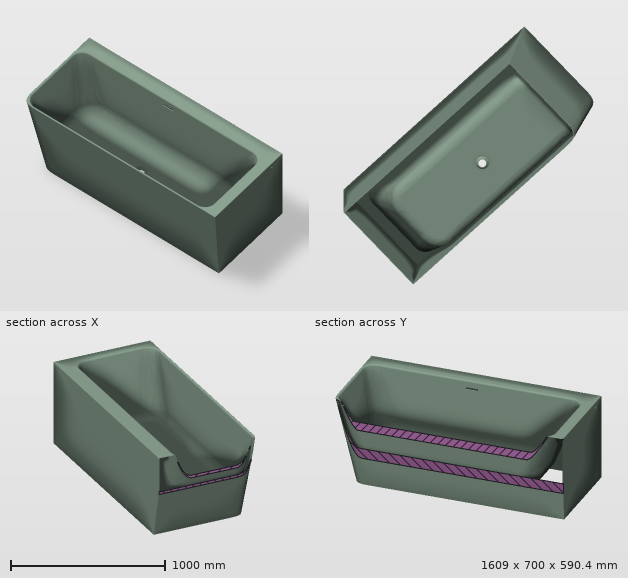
import cadquery as cq

length = 1600.0
width = 700.0
height = 590.44
left_lean = 130.0
front_lean = 40.0
outer_corner = 110.0
corner_inset = 0.2

shell = 5.0
apron_height = height - shell

rim_edge_radius = 4.0
lip_radius = 12.0
floor_z = 160.0
floor_radius = 60.0

basin_top = (16.0, 1523.0, 15.5, 588.0, 77.0)
basin_floor = (120.0, 1363.0, 51.0, 552.5, 135.0)

drain_x = 744.0
drain_y = (basin_top[2] + basin_top[3]) / 2
drain_top_diameter = 86.0
drain_hole_diameter = 51.0
drain_depth = 18.0
overflow_width = 83.0
overflow_height = 14.0
overflow_z = 536.0
overflow_cut_depth = 40.0

apron_wall = 5.0
pin_diameter = 6.0
pin_reach = 9.0
pin_y = 587.0
pin_z = 554.0


def outer_outline(z, inset):
    """Outline of the block at height z, moved inward by inset, with one soft corner."""
    drop = max(0.0, 1 - z / apron_height)
    left = left_lean * drop + inset
    front = front_lean * drop + inset
    right = length - inset
    back = width - inset
    corner = outer_corner - inset
    middle = corner * corner_inset
    return (
        cq.Workplane("XY", origin=(0, 0, z))
        .moveTo(left, back)
        .lineTo(left, front + corner)
        .spline(
            [(left + middle, front + middle), (left + corner, front)],
            tangents=[(0, -1), (1, 0)],
            includeCurrent=True,
        )
        .lineTo(right, front)
        .lineTo(right, back)
        .close()
        .wires()
        .val()
    )


def outer_block(z_low, z_high, inset=0.0):
    """Part of the block between two heights."""
    outlines = [outer_outline(z_low, inset), outer_outline(z_high, inset)]
    return cq.Workplane(cq.Solid.makeLoft(outlines, True))


def basin_outline(section, z, grow):
    """Rounded rectangle at height z, moved outward by grow."""
    left, right, front, back, radius = section
    corners = [
        cq.Vector(left - grow, front - grow, z),
        cq.Vector(right + grow, front - grow, z),
        cq.Vector(right + grow, back + grow, z),
        cq.Vector(left - grow, back + grow, z),
    ]
    rectangle = cq.Wire.makePolygon(corners, close=True)
    return rectangle.fillet2D(radius + grow, rectangle.Vertices())


def basin_block(grow):
    """Solid of the basin hollow, grown by a wall thickness on its sides and floor."""
    outlines = [
        basin_outline(basin_floor, floor_z - grow, grow),
        basin_outline(basin_top, height, grow),
    ]
    block = cq.Workplane(cq.Solid.makeLoft(outlines, True))
    return block.faces("<Z").edges().fillet(floor_radius + grow)


def drain_cone(grow):
    """Funnel from the basin floor down to the drain hole, grown by a wall thickness."""
    return cq.Workplane(
        cq.Solid.makeCone(
            drain_hole_diameter / 2 + grow,
            drain_top_diameter / 2 + grow,
            drain_depth,
            cq.Vector(drain_x, drain_y, floor_z - drain_depth),
        )
    )


def make_tub():
    """Rim and basin shell, with the drain and the overflow slot."""
    rim = outer_block(apron_height, height).faces(">Z").edges().fillet(rim_edge_radius)
    tub = rim.union(basin_block(shell)).union(drain_cone(shell))
    tub = tub.cut(basin_block(0.0)).cut(drain_cone(0.0))

    left, right, front, back, _ = basin_top
    margin = 1.0
    mouth = cq.selectors.BoxSelector(
        (left - margin, front - margin, height - margin),
        (right + margin, back + margin, height + margin),
    )
    tub = tub.faces(">Z").edges(mouth).fillet(lip_radius)

    slot = cq.Workplane("XY").box(overflow_width, overflow_cut_depth, overflow_height)
    return tub.cut(slot.translate((drain_x, basin_top[3], overflow_z)))


def make_pin():
    """Small pin through the right wall of the apron."""
    return (
        cq.Workplane("YZ", origin=(length - apron_wall, pin_y, pin_z))
        .circle(pin_diameter / 2)
        .extrude(apron_wall + pin_reach)
    )


def make_apron():
    """Wall that carries the rim and hides the basin, open at the top and bottom."""
    outside = outer_block(0.0, apron_height)
    inside = outer_block(0.0, apron_height, apron_wall)
    return outside.cut(inside).cut(make_pin())


tub = make_tub()
apron = make_apron()
pin = make_pin()

result = cq.Compound.makeCompound([tub.val(), apron.val(), pin.val()])